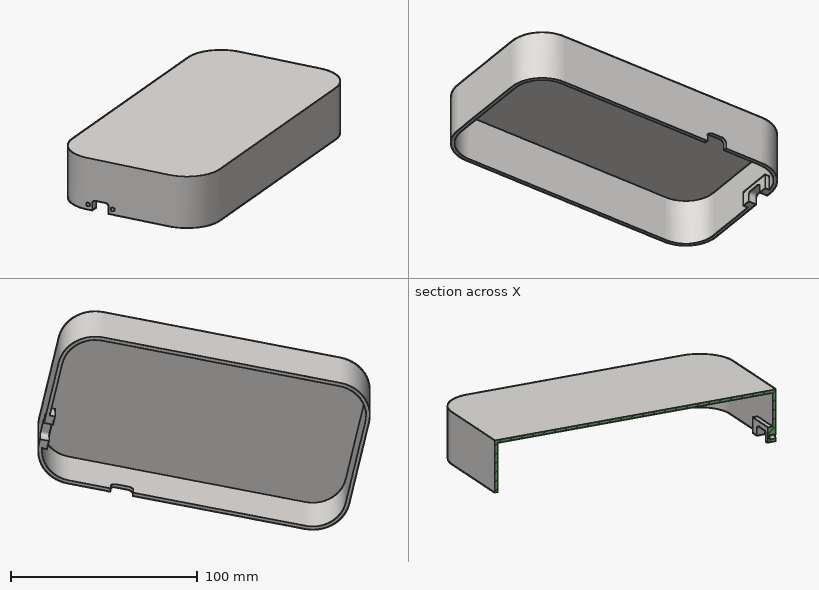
import cadquery as cq
import math

width = 90.0
length = 170
height = 30.0
corner_radius = 20.0
wall = 2.0

front_slot_x = -17
front_slot_width = 10.0
front_slot_height = 6.0
front_slot_radius = 1.9

pad_width = 20.0
pad_height = 9.0
pad_depth = 5.0

screw_hole_diameter = 2.2
screw_hole_depth = 3.4
screw_hole_spacing = 15.0
screw_hole_z = 3.0
drill_point_angle = 118

side_slot_y = -35.5
side_slot_width = 12.2
side_slot_height = 6.1
side_slot_radius = 3.0

front_y = -length / 2
left_x = -width / 2


def rounded_block(x_size, y_size, z_size, radius):
    """Block on Z = 0 with rounded vertical edges."""
    block = cq.Workplane("XY").box(x_size, y_size, z_size, centered=(True, True, False))
    return block.edges("|Z").fillet(radius)


def arch(opening_width, opening_height, radius, depth):
    """Cutter for an opening through a wall, along Y from Y = 0, with rounded top corners."""
    block = cq.Workplane("XY").box(opening_width, depth, opening_height, centered=(True, False, False))
    return block.edges("|Y and >Z").fillet(radius)


def screw_hole():
    """Blind drilled hole along Y from Y = 0, with a conical end."""
    radius = screw_hole_diameter / 2
    tip = radius / math.tan(math.radians(drill_point_angle / 2))
    profile = [(0, 0), (radius, 0), (radius, screw_hole_depth), (0, screw_hole_depth + tip)]
    return cq.Workplane("XY").polyline(profile).close().revolve(360, (0, 0, 0), (0, 1, 0))


envelope = rounded_block(width, length, height, corner_radius)
cavity = rounded_block(width - 2 * wall, length - 2 * wall, height - wall, corner_radius - wall)
case = envelope.cut(cavity)

pad = cq.Workplane("XY").box(pad_width, pad_depth, pad_height, centered=(True, False, False))
pad = pad.translate((front_slot_x, front_y, 0)).intersect(envelope)
case = case.union(pad)

front_slot = arch(front_slot_width, front_slot_height, front_slot_radius, pad_depth)
case = case.cut(front_slot.translate((front_slot_x, front_y, 0)))

for side in (-1, 1):
    hole_x = front_slot_x + side * screw_hole_spacing / 2
    case = case.cut(screw_hole().translate((hole_x, front_y, screw_hole_z)))

side_slot = arch(side_slot_width, side_slot_height, side_slot_radius, wall)
side_slot = side_slot.rotate((0, 0, 0), (0, 0, 1), -90)
case = case.cut(side_slot.translate((left_x, side_slot_y, 0)))

result = case